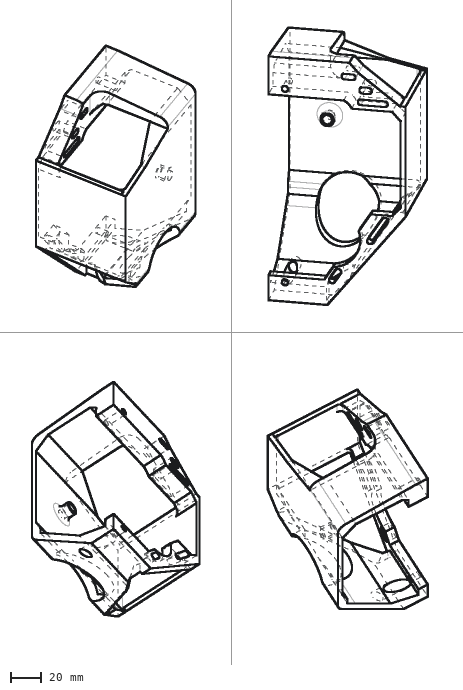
import cadquery as cq
import math

WIDTH = 68.0
DEPTH = 91.9
HEIGHT = 172.7
MARGIN = 1.7

FOOT_WIDTH = 18.3
ELBOW_RADIUS = 10.9
ROOF_FLAT = 9.2
ROOF_LOW_Z = 167.7
ROOF_RADIUS = 6.5

FRONT_WALL = 3.3
RIGHT_WALL = 3.5
RIGHT_WALL_LOW = 7.0
UPPER_PLATE = 14.5
LOWER_PLATE = 7.0
FRONT_BOTTOM_Z = 66.7
FRONT_TOP_Z = 144.7
INNER_CORNER = 2.8

RIGHT_INNER_X = WIDTH - RIGHT_WALL
LOW_INNER_X = WIDTH - RIGHT_WALL_LOW
FLOOR_Z = 9.8
KNEE_X = 28.3
KNEE_Z = 18.1
BEND_X = 55.1
BEND_Z = 45.3
DIAGONAL_TOP_Z = 51.1
CEILING_Z = 160.3
GUSSET = 10.2
PLATE_CHAMFER = 4.8
STEP_BACK_TOP_Z = 59.8
STEP_BACK_LOW_Z = 56.0
STEP_BACK_INSET = 0.7
PLATE_STEP_Z = 103.6

OPENING_TOP_Z = 145.8
OPENING_STEP_Z = 140.5
OPENING_STEP_Y = 41.5
STEP_DROP = OPENING_TOP_Z - OPENING_STEP_Z
STEP_BULGE = 0.5
OPENING_CHAMFER_Y = 5.7
OPENING_CHAMFER_Z = 6.2
SILL_BACK_Y = 23.3
TAB_TOP_Z = 17.8
TAB_FRONT_Y = 54.4

ROOF_FRONT_Y = 55.3
ROOF_CORNER_RADIUS = 9.5
GUSSET_FOOT_Y = 25.7
PLATE_TOP_Y = 37.7
PLATE_BEND_Y = 31.5
PLATE_BEND_Z = 166.0
PLATE_LOW_Y = 3.6

FOOT_FRONT_Y = 52.3
RIGHT_END_Z = 55.0
KNEE_FRONT_Y = 39.9
DIAGONAL_RAKE = 0.35
BLOCK_LOW_Y = 45.6
BLOCK_LOW_X = 15.7
BLOCK_HIGH_X = 10.9

WINDOW_DIAMETER = 41.5
WINDOW_Y = 51.1
WINDOW_Z = 47.7
LEDGE_CHANGE_Y = WINDOW_Y
SCREW_DIAMETER = 4.1
SCREW_Y = 80.8
UPPER_SCREW_Z = 150.6
LOWER_SCREW_Z = 13.6
SCREW_HEAD_DIAMETER = 8.0

BOSS_DIAMETER = 9.0
BOSS_FLARE = 4.1
BOSS_HEIGHT = 8.6
BOSS_Y = 64.5
BOSS_Z = 108.0
PIN_DIAMETER = 6.5

SLOTS = [
    (38.2, 162.7, 9.3, 4.0, 0),
    (26.8, 153.9, 8.3, 4.5, 0),
    (22.0, 145.5, 20.0, 4.0, 0),
    (18.7, 55.3, 22.5, 4.1, 123),
    (47.2, 20.9, 11.7, 4.1, 123),
]


def along_y(profile, start, end):
    """Extrude a closed X-Z outline from Y = start to Y = end."""
    return profile.extrude(start - end).translate((0, start, 0))


def along_x(points, start, end):
    """Extrude a Y-Z polygon from X = start to X = end."""
    return cq.Workplane("YZ", origin=(start, 0, 0)).polyline(points).close().extrude(end - start)


def outer_block():
    outline = cq.Workplane("XZ").polyline([
        (0, 0),
        (FOOT_WIDTH, 0),
        (WIDTH, WIDTH - FOOT_WIDTH),
        (WIDTH, ROOF_LOW_Z),
        (ROOF_FLAT, HEIGHT),
        (0, HEIGHT),
    ]).close()
    block = along_y(outline, 0, DEPTH)
    roof_edge = cq.selectors.NearestToPointSelector((WIDTH, DEPTH / 2, ROOF_LOW_Z))
    elbow_edge = cq.selectors.NearestToPointSelector((WIDTH, DEPTH / 2, WIDTH - FOOT_WIDTH))
    return block.edges(roof_edge).fillet(ROOF_RADIUS).edges(elbow_edge).fillet(ELBOW_RADIUS)


def cavity_section(start, end, long_ledge):
    """Cavity between two Y positions; the ledge on the right wall is long at the back."""
    ledge_drop = RIGHT_INNER_X - LOW_INNER_X
    outline = (
        cq.Workplane("XZ")
        .moveTo(LOWER_PLATE, FLOOR_Z)
        .lineTo(KNEE_X, KNEE_Z)
        .lineTo(BEND_X, BEND_Z)
        .lineTo(LOW_INNER_X, DIAGONAL_TOP_Z)
    )
    if long_ledge:
        outline = outline.lineTo(LOW_INNER_X, STEP_BACK_LOW_Z).tangentArcPoint(
            (LOW_INNER_X + STEP_BACK_INSET, STEP_BACK_TOP_Z), relative=False
        )
    else:
        outline = outline.lineTo(LOW_INNER_X, FRONT_BOTTOM_Z - ledge_drop)
    outline = (
        outline.lineTo(RIGHT_INNER_X, FRONT_BOTTOM_Z)
        .lineTo(RIGHT_INNER_X, CEILING_Z - GUSSET)
        .lineTo(RIGHT_INNER_X - GUSSET, CEILING_Z)
        .lineTo(UPPER_PLATE + PLATE_CHAMFER, CEILING_Z)
        .lineTo(UPPER_PLATE, CEILING_Z - PLATE_CHAMFER)
        .lineTo(UPPER_PLATE, PLATE_STEP_Z)
        .lineTo(LOWER_PLATE, PLATE_STEP_Z)
        .close()
    )
    return along_y(outline, start, end)


def cavity():
    front = cavity_section(FRONT_WALL, LEDGE_CHANGE_Y, False)
    front = front.faces("<Y").edges("|Z").fillet(INNER_CORNER)
    back = cavity_section(LEDGE_CHANGE_Y, DEPTH + MARGIN, True)
    return front.union(back)


def left_opening():
    """Opening in the left wall, with clearance for the corner fillets behind it."""
    step_end_y = OPENING_STEP_Y - STEP_DROP
    middle = (
        OPENING_STEP_Y - STEP_DROP / 2 - STEP_BULGE,
        OPENING_TOP_Z - STEP_DROP / 2 + STEP_BULGE,
    )
    chamfer_back_y = FRONT_WALL + OPENING_CHAMFER_Y
    return (
        cq.Workplane("YZ", origin=(-MARGIN, 0, 0))
        .moveTo(DEPTH + MARGIN, OPENING_TOP_Z)
        .lineTo(OPENING_STEP_Y, OPENING_TOP_Z)
        .threePointArc(middle, (step_end_y, OPENING_STEP_Z))
        .lineTo(chamfer_back_y, OPENING_STEP_Z)
        .lineTo(FRONT_WALL, OPENING_STEP_Z - OPENING_CHAMFER_Z)
        .lineTo(FRONT_WALL, FRONT_BOTTOM_Z + OPENING_CHAMFER_Z)
        .lineTo(chamfer_back_y, FRONT_BOTTOM_Z)
        .lineTo(SILL_BACK_Y, FRONT_BOTTOM_Z)
        .lineTo(TAB_FRONT_Y, TAB_TOP_Z)
        .lineTo(DEPTH + MARGIN, TAB_TOP_Z)
        .close()
        .extrude(MARGIN + UPPER_PLATE + INNER_CORNER)
    )


def top_front_cut():
    """Everything in front of the roof and above the sloping tops of the side walls."""
    over = HEIGHT + MARGIN
    roof_notch = along_x(
        [
            (-MARGIN, FRONT_TOP_Z),
            (0, FRONT_TOP_Z),
            (GUSSET_FOOT_Y, CEILING_Z - GUSSET),
            (ROOF_FRONT_Y, CEILING_Z),
            (ROOF_FRONT_Y, over),
            (-MARGIN, over),
        ],
        UPPER_PLATE,
        WIDTH + MARGIN,
    )
    left_corner = (
        cq.Workplane("XY", origin=(0, 0, FRONT_TOP_Z))
        .moveTo(UPPER_PLATE, -MARGIN)
        .lineTo(RIGHT_INNER_X - GUSSET, -MARGIN)
        .lineTo(RIGHT_INNER_X - GUSSET, ROOF_FRONT_Y)
        .lineTo(UPPER_PLATE + ROOF_CORNER_RADIUS, ROOF_FRONT_Y)
        .radiusArc((UPPER_PLATE, ROOF_FRONT_Y - ROOF_CORNER_RADIUS), -ROOF_CORNER_RADIUS)
        .close()
        .extrude(over - FRONT_TOP_Z)
    )
    right_part = roof_notch.intersect(
        cq.Workplane("XY")
        .box(WIDTH, DEPTH, over, centered=False)
        .translate((RIGHT_INNER_X - GUSSET, -MARGIN, 0))
    )
    front_rim = (
        cq.Workplane("XY")
        .box(RIGHT_INNER_X - UPPER_PLATE, FRONT_WALL + MARGIN, over - FRONT_TOP_Z, centered=False)
        .translate((UPPER_PLATE, -MARGIN, FRONT_TOP_Z))
    )
    plate_top = along_x(
        [
            (-MARGIN, FRONT_TOP_Z),
            (PLATE_LOW_Y, FRONT_TOP_Z),
            (PLATE_BEND_Y, PLATE_BEND_Z),
            (PLATE_TOP_Y, HEIGHT),
            (PLATE_TOP_Y, over),
            (-MARGIN, over),
        ],
        -MARGIN,
        UPPER_PLATE,
    )
    return left_corner.union(right_part).union(front_rim).union(plate_top)


def lower_plate_cut():
    """Sloping front end of the left wall below its opening."""
    return along_x(
        [
            (-MARGIN, FRONT_BOTTOM_Z),
            (0, FRONT_BOTTOM_Z),
            (FOOT_FRONT_Y, 0),
            (FOOT_FRONT_Y, -MARGIN),
            (-MARGIN, -MARGIN),
        ],
        -MARGIN,
        LOWER_PLATE,
    )


def front_wall_cut():
    """Clears the front wall and its inner corner fillets below the front wall's lower edge."""
    width = LOW_INNER_X - LOWER_PLATE
    depth = MARGIN + FRONT_WALL + INNER_CORNER
    return (
        cq.Workplane("XY")
        .box(width, depth, FRONT_BOTTOM_Z + MARGIN, centered=False)
        .translate((LOWER_PLATE, -MARGIN, -MARGIN))
    )


def right_wall_cut():
    """45 degree front end of the right wall, just below the front wall."""
    drop = FRONT_BOTTOM_Z - RIGHT_END_Z
    return along_x(
        [(-MARGIN, FRONT_BOTTOM_Z), (0, FRONT_BOTTOM_Z), (drop, RIGHT_END_Z), (-MARGIN, RIGHT_END_Z)],
        LOW_INNER_X,
        WIDTH + MARGIN,
    )


def diagonal_wall_cut():
    """Front end of the diagonal wall, square to the wall's inner and outer faces."""
    slope = math.sqrt(2) * DIAGONAL_RAKE
    reach = DEPTH
    square_to_wall = cq.Plane(origin=(KNEE_X, 0, KNEE_Z), xDir=(1, 0, 1), normal=(-1, 0, 1))
    wedge = (
        cq.Workplane(square_to_wall)
        .polyline([
            (-reach, KNEE_FRONT_Y + slope * reach),
            (reach, KNEE_FRONT_Y - slope * reach),
            (reach, -reach),
            (-reach, -reach),
        ])
        .close()
        .extrude(reach, both=True)
    )
    below_right_wall = (
        cq.Workplane("XY")
        .box(WIDTH, DEPTH, RIGHT_END_Z, centered=False)
        .translate((KNEE_X, 0, 0))
    )
    return wedge.intersect(below_right_wall)


def block_cut():
    """Flat and slanted front faces of the solid block at the foot."""
    def outline(z, corner_y, corner_x):
        points = [
            (LOWER_PLATE, -MARGIN),
            (KNEE_X, -MARGIN),
            (KNEE_X, corner_y),
            (corner_x, TAB_FRONT_Y),
            (LOWER_PLATE, TAB_FRONT_Y),
        ]
        return cq.Wire.makePolygon([cq.Vector(x, y, z) for x, y in points], close=True)

    low = outline(0, BLOCK_LOW_Y, BLOCK_LOW_X)
    high = outline(KNEE_Z, KNEE_FRONT_Y, BLOCK_HIGH_X)
    return cq.Workplane(cq.Solid.makeLoft([low, high], True))


def cylinder_along_x(diameter, y, z, start, end):
    return cq.Workplane("YZ", origin=(start, y, z)).circle(diameter / 2).extrude(end - start)


def slot_cut(y, z, length, width, tilt):
    return (
        cq.Workplane("YZ", origin=(-MARGIN, y, z))
        .slot2D(length, width, tilt)
        .extrude(MARGIN + UPPER_PLATE)
    )


def flared_boss():
    """Boss standing on the right wall, blended into it by a concave flare."""
    radius = BOSS_DIAMETER / 2
    flare_middle = BOSS_FLARE * (1 - math.sqrt(0.5))
    return (
        cq.Workplane("XY")
        .lineTo(0, radius + BOSS_FLARE)
        .threePointArc((-flare_middle, radius + flare_middle), (-BOSS_FLARE, radius))
        .lineTo(-BOSS_HEIGHT, radius)
        .lineTo(-BOSS_HEIGHT, 0)
        .close()
        .revolve(360, (0, 0), (1, 0))
        .translate((RIGHT_INNER_X, BOSS_Y, BOSS_Z))
    )


def make_pin():
    return cylinder_along_x(PIN_DIAMETER, BOSS_Y, BOSS_Z, RIGHT_INNER_X - BOSS_HEIGHT, RIGHT_INNER_X)


def make_housing():
    housing = outer_block().cut(cavity()).cut(left_opening())
    front_cuts = [
        top_front_cut(),
        lower_plate_cut(),
        front_wall_cut(),
        right_wall_cut(),
        diagonal_wall_cut(),
        block_cut(),
    ]
    for cut in front_cuts:
        housing = housing.cut(cut)
    housing = housing.cut(cylinder_along_x(WINDOW_DIAMETER, WINDOW_Y, WINDOW_Z, -MARGIN, WIDTH + MARGIN))
    housing = housing.cut(cylinder_along_x(SCREW_DIAMETER, SCREW_Y, UPPER_SCREW_Z, -MARGIN, UPPER_PLATE))
    housing = housing.cut(cylinder_along_x(SCREW_DIAMETER, SCREW_Y, LOWER_SCREW_Z, -MARGIN, LOWER_PLATE))
    housing = housing.cut(cylinder_along_x(SCREW_HEAD_DIAMETER, SCREW_Y, LOWER_SCREW_Z, LOWER_PLATE, WIDTH))
    for slot in SLOTS:
        housing = housing.cut(slot_cut(*slot))
    return housing.union(flared_boss()).cut(make_pin())


housing = make_housing()
pin = make_pin()

result = cq.Compound.makeCompound([housing.solids().val(), pin.val()])